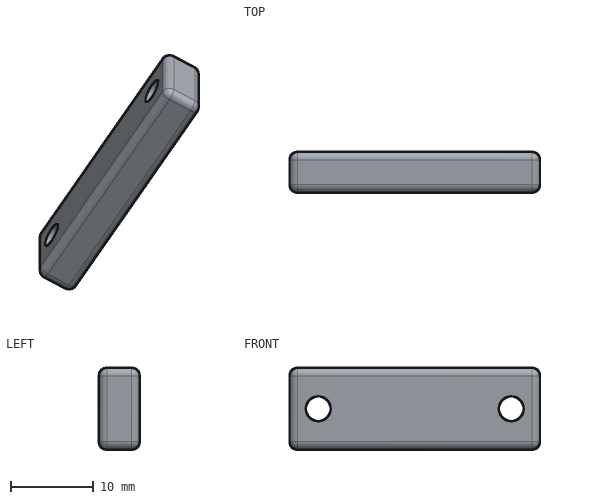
import cadquery as cq

length = 30.5
thickness = 5.0
height = 10.0

edge_radius = 1.0

hole_diameter = 3.0
hole_spacing = 23.5

block = cq.Workplane("XY").box(length, thickness, height).edges().fillet(edge_radius)

hole_centres = [(-hole_spacing / 2, 0), (hole_spacing / 2, 0)]
holes = (
    cq.Workplane("XZ")
    .pushPoints(hole_centres)
    .circle(hole_diameter / 2)
    .extrude(thickness, both=True)
)

result = block.cut(holes)